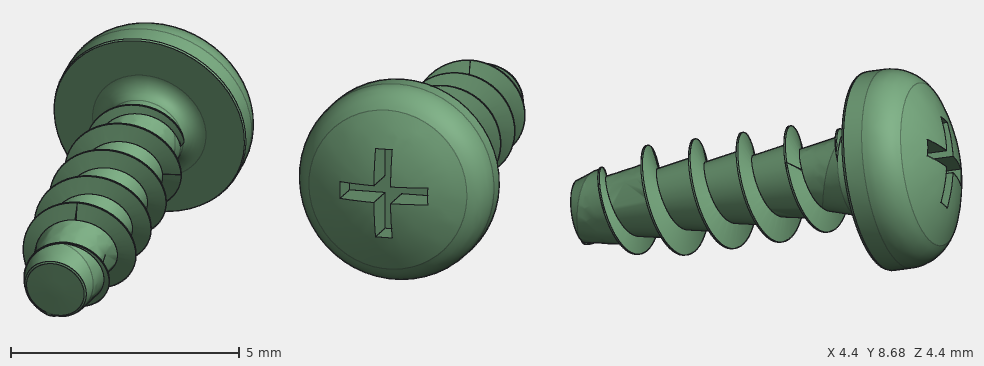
import cadquery as cq
import math


head_radius = 2.2
head_height = 1.70
rim_height = 0.476
rim_edge_chamfer = 0.05
rim_edge_inset = 0.02
dome_edge_radius = 1.8
dome_edge_height = 1.235
dome_radius = 3.75
shoulder_radius = 0.92

recess_span = 2.0
recess_slot_width = 0.38
recess_depth = 0.9

neck_radius = 0.9
neck_fillet = 0.4
neck_length = 0.6
neck_cone_length = 0.7
neck_cone_slope = 0.28

shank_length = 6.97
core_radius = 0.9
core_seam_angle = 210
tip_radius = 0.705
tip_cone_slope = 0.35
tip_edge_inset = 0.045
tip_edge_length = 0.02
tip_point_height = 0.02

pitch = 1.12
crest_radius = 1.25
crest_width = 0.04
ridge_depth = 0.6
flank_angle = math.radians(15)
first_full_crest = 1.675
run_in_turns = 1
full_turns = 3.25
run_out_turns = 1.5
run_in_radius = 0.99

groove_floor_high = 0.88
groove_floor_low = 0.69
groove_land_width = 0.04
groove_outer_radius = 1.1
groove_turns = 7


def revolve_about_axis(outline):
    """Revolve an outline drawn as (radius, z) about the z axis."""
    return outline.close().revolve(360, (0, 0, 0), (0, 1, 0))


def arc_midpoint(start, end, radius):
    """Middle of the minor arc from start to end that bulges away from the axis at smaller z."""
    chord_r = end[0] - start[0]
    chord_z = end[1] - start[1]
    chord = math.hypot(chord_r, chord_z)
    rise = radius - math.sqrt(radius**2 - (chord / 2) ** 2)
    return (
        (start[0] + end[0]) / 2 + rise * chord_z / chord,
        (start[1] + end[1]) / 2 - rise * chord_r / chord,
    )


def make_head():
    """Domed pan head with a rounded shoulder and a short cylindrical rim."""
    apex = (0, -head_height)
    dome_edge = (dome_edge_radius, -dome_edge_height)
    rim_top = (head_radius, -rim_height)
    outline = (
        cq.Workplane("YZ")
        .moveTo(*apex)
        .threePointArc(arc_midpoint(apex, dome_edge, dome_radius), dome_edge)
        .threePointArc(arc_midpoint(dome_edge, rim_top, shoulder_radius), rim_top)
        .lineTo(head_radius, -rim_edge_chamfer)
        .lineTo(head_radius - rim_edge_inset, 0)
        .lineTo(0, 0)
    )
    return revolve_about_axis(outline)


def make_recess():
    """Cross of two equal slots sunk into the dome."""
    floor = recess_depth - head_height
    slot = cq.Workplane("XY").box(recess_span, recess_slot_width, recess_depth, centered=(True, True, False))
    slot = slot.translate((0, 0, floor - recess_depth))
    return slot.union(slot.rotate((0, 0, 0), (0, 0, 1), 90))


def make_neck():
    """Filleted cylinder under the head with a cone leading into the thread root."""
    cone_end_radius = neck_radius - neck_cone_slope * neck_cone_length
    fillet_offset = neck_fillet * (1 - math.sqrt(0.5))
    outline = (
        cq.Workplane("YZ")
        .moveTo(0, 0)
        .lineTo(neck_radius + neck_fillet, 0)
        .threePointArc((neck_radius + fillet_offset, fillet_offset), (neck_radius, neck_fillet))
        .lineTo(neck_radius, neck_length)
        .lineTo(cone_end_radius, neck_length + neck_cone_length)
        .lineTo(0, neck_length + neck_cone_length)
    )
    return revolve_about_axis(outline)


def make_core_blank():
    """Round shank coned down to a blunt pointed tip."""
    cone_length = (core_radius - tip_radius) / tip_cone_slope
    outline = (
        cq.Workplane("XZ")
        .moveTo(0, neck_length)
        .lineTo(core_radius, neck_length)
        .lineTo(core_radius, shank_length - tip_edge_length - cone_length)
        .lineTo(tip_radius, shank_length - tip_edge_length)
        .lineTo(tip_radius - tip_edge_inset, shank_length)
        .lineTo(0, shank_length + tip_point_height)
    )
    return revolve_about_axis(outline).rotate((0, 0, 0), (0, 0, 1), core_seam_angle)


def make_root_groove():
    """Helical groove whose floor sinks towards the tip from one ridge to the next."""
    first_crest = first_full_crest - 2 * pitch
    groove_start = first_crest + groove_land_width / 2
    groove_end = first_crest + pitch - groove_land_width / 2
    groove_middle = (groove_start + groove_end) / 2
    profile = (
        cq.Workplane("XZ")
        .moveTo(groove_outer_radius, groove_start)
        .lineTo(groove_floor_high, groove_start)
        .lineTo(groove_floor_low, groove_end)
        .lineTo(groove_outer_radius, groove_end)
        .close()
    )
    helix_base = cq.Vector(0, 0, groove_middle)
    helix = cq.Wire.makeHelix(pitch, groove_turns * pitch, core_radius, helix_base)
    return profile.sweep(cq.Workplane(helix), isFrenet=True)


def make_ridge(turns, start_radius, end_radius):
    """Thread ridge winding up from z = 0, its crest going from start_radius to end_radius."""
    height = turns * pitch
    if start_radius == end_radius:
        helix = cq.Wire.makeHelix(pitch, height, start_radius)
    else:
        cone_angle = math.atan((end_radius - start_radius) / height)
        stretch = 1 / math.cos(cone_angle)
        helix = cq.Wire.makeHelix(
            pitch * stretch, height * stretch, start_radius, angle=math.degrees(cone_angle)
        )
    crest_half = crest_width / 2
    root_half = crest_half + ridge_depth * math.tan(flank_angle)
    root_radius = start_radius - ridge_depth
    profile = (
        cq.Workplane("XZ")
        .moveTo(root_radius, -root_half)
        .lineTo(start_radius, -crest_half)
        .lineTo(start_radius, crest_half)
        .lineTo(root_radius, root_half)
        .close()
    )
    return profile.sweep(cq.Workplane(helix), isFrenet=True)


def place_on_thread(ridge, z):
    """Lift a ridge to height z and turn it to where the thread is at that height."""
    angle = 360 * (z - first_full_crest) / pitch
    return ridge.rotate((0, 0, 0), (0, 0, 1), angle).translate((0, 0, z))


def make_thread():
    """Rising, full and fading stretches of the ridge, trimmed to the threaded length."""
    run_in_start = first_full_crest - run_in_turns * pitch
    run_out_end = first_full_crest + (full_turns + run_out_turns) * pitch
    run_in = make_ridge(run_in_turns, run_in_radius, crest_radius)
    full = make_ridge(full_turns, crest_radius, crest_radius)
    run_out = make_ridge(run_out_turns, tip_radius, crest_radius).rotate((0, 0, 0), (1, 0, 0), 180)
    threaded_zone = (
        cq.Workplane("XY")
        .workplane(offset=neck_length)
        .circle(crest_radius + crest_width)
        .extrude(shank_length - neck_length)
    )
    return [
        place_on_thread(run_in, run_in_start).intersect(threaded_zone),
        place_on_thread(full, first_full_crest),
        place_on_thread(run_out, run_out_end).intersect(threaded_zone),
    ]


core = make_core_blank().cut(make_root_groove())
head = make_head().cut(make_recess())
screw = core.union(make_neck())
for ridge in make_thread():
    screw = screw.union(ridge)
screw = screw.union(head)
result = screw.rotate((0, 0, 0), (1, 0, 0), 90)